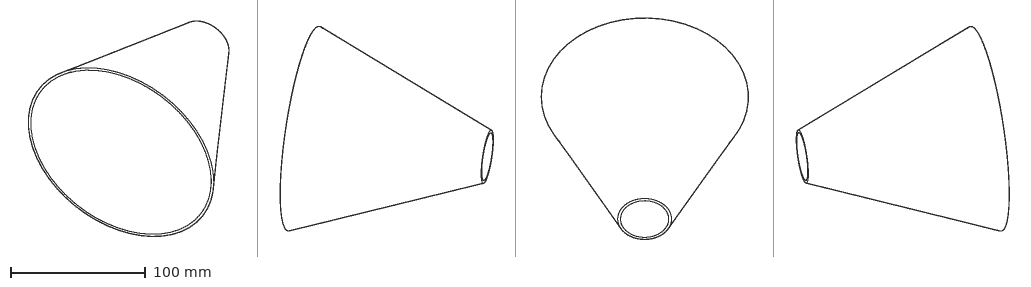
import cadquery as cq
import math

large_diameter = 154.0
small_diameter = 40.0
length = 140.0
wall_thickness = 2.0

large_radius = large_diameter / 2
small_radius = small_diameter / 2
half_angle = math.atan2(large_radius - small_radius, length)
radial_wall = wall_thickness / math.cos(half_angle)

wall_section = [
    (large_radius - radial_wall, 0),
    (large_radius, 0),
    (small_radius, length),
    (small_radius - radial_wall, length),
]

result = (
    cq.Workplane("XY")
    .polyline(wall_section)
    .close()
    .revolve(360, (0, 0, 0), (0, 1, 0))
)